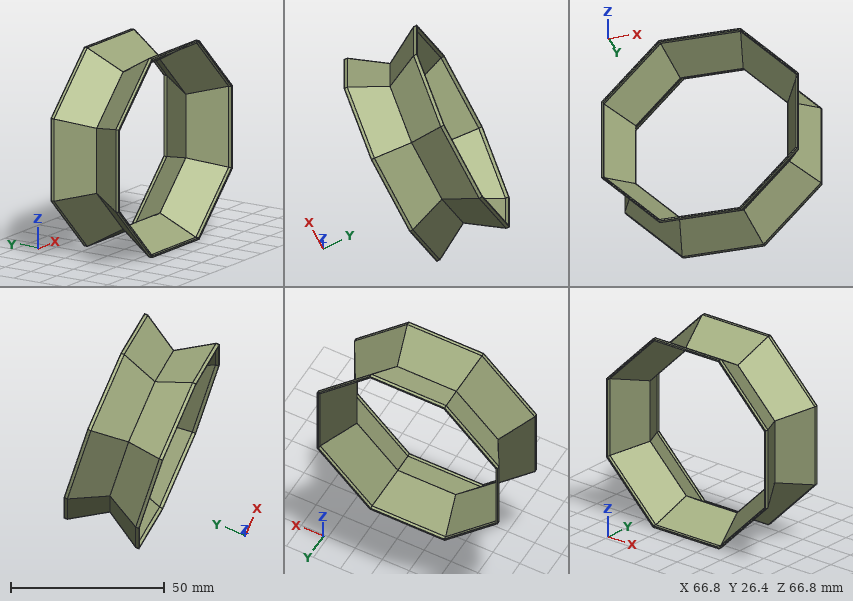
import cadquery as cq
import math

rim_across_flats = 66.8
depth = 26.4
rim_width = 1.15
rim_wall = 0.55
waist_wall = 0.6
flare_angle = 30.0
side_count = 8

half_depth = depth / 2
flare_length = half_depth - rim_width
waist_inset = flare_length * math.tan(math.radians(flare_angle))
waist_across_flats = rim_across_flats - 2 * waist_inset


def octagon(across_flats, y):
    """Closed octagonal wire in the plane at y, with flats facing X and Z."""
    radius = across_flats / 2 / math.cos(math.pi / side_count)
    angles = [(2 * i + 1) * math.pi / side_count for i in range(side_count)]
    corners = [cq.Vector(radius * math.cos(a), y, radius * math.sin(a)) for a in angles]
    return cq.Wire.makePolygon(corners, close=True)


def flared_half(rim_size, waist_size, side):
    """Half of a spool from the waist to one rim; side is -1 or +1 along Y."""
    waist = octagon(waist_size, 0)
    rim_start = octagon(rim_size, side * flare_length)
    rim_end = octagon(rim_size, side * half_depth)
    flare = cq.Solid.makeLoft([waist, rim_start], True)
    rim = cq.Solid.makeLoft([rim_start, rim_end], True)
    return cq.Workplane(flare).union(cq.Workplane(rim))


def spool(rim_size, waist_size):
    """Solid spool: two flared halves meeting at the waist."""
    return flared_half(rim_size, waist_size, -1).union(flared_half(rim_size, waist_size, 1))


outer = spool(rim_across_flats, waist_across_flats)
bore = spool(rim_across_flats - 2 * rim_wall, waist_across_flats - 2 * waist_wall)
result = outer.cut(bore)